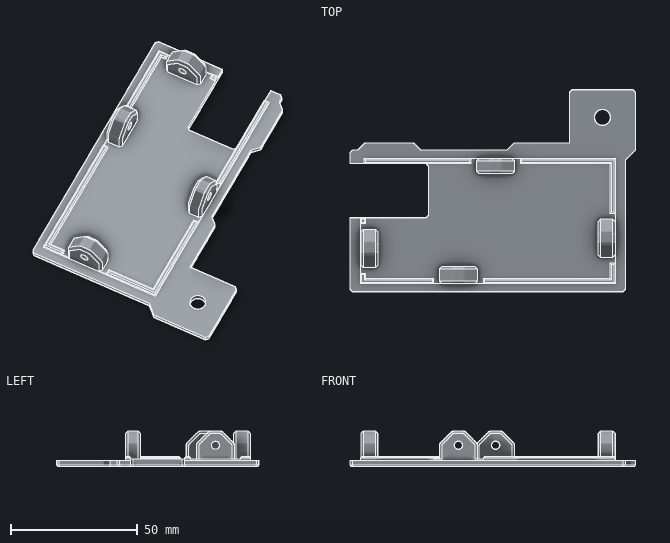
import cadquery as cq

plate_length = 113.0
plate_depth = 80.0
body_length = 109.0
body_depth = 56.2
plate_thickness = 2.5
corner_bevel = 1.0
bottom_chamfer = 0.6

land_rise = 2.8
left_land_start = 3.0
left_land_end = 28.0
right_land_start = 62.2

ear_left = 86.8
ear_hole_diameter = 6.2
ear_hole_x = 99.9
ear_hole_y = 69.0

notch_depth = 31.1
notch_front = 29.4
notch_back = 50.7

platform_left = 4.2
platform_right = 105.0
platform_front = 3.3
platform_top = 3.0
ridge_width = 2.0
platform_back = notch_back + ridge_width
back_arm_start = 5.6
ridge_top = 4.0
ridge_chamfer = 0.5

tab_width = 15.1
tab_top = 14.1
tab_shoulder = 9.0
tab_rounding = 2.0
tab_chamfer = 1.0
tab_thickness = 6.8
back_tab_thickness = 6.0
tab_hole_diameter = 3.2
tab_hole_height = 8.5
tab_clearance = 2.3
front_tab_x = 42.9
back_tab_x = 57.6
left_tab_y = 17.2
left_tab_inset = 0.1
right_tab_y = 21.2


def block(x_start, x_end, y_start, y_end, bottom, top):
    size = (x_end - x_start, y_end - y_start, top - bottom)
    return cq.Workplane("XY").box(*size, centered=False).translate((x_start, y_start, bottom))


def make_plate():
    land_depth = body_depth + land_rise
    ear_overhang = plate_length - body_length
    outline = [
        (corner_bevel, 0),
        (body_length - corner_bevel, 0),
        (body_length, corner_bevel),
        (body_length, body_depth - ear_overhang),
        (plate_length, body_depth),
        (plate_length, plate_depth - corner_bevel),
        (plate_length - corner_bevel, plate_depth),
        (ear_left + corner_bevel, plate_depth),
        (ear_left, plate_depth - corner_bevel),
        (ear_left, land_depth),
        (right_land_start + land_rise, land_depth),
        (right_land_start, body_depth),
        (left_land_end, body_depth),
        (left_land_end - land_rise, land_depth),
        (left_land_start + land_rise, land_depth),
        (left_land_start, body_depth),
        (corner_bevel, body_depth),
        (0, body_depth - corner_bevel),
        (0, notch_back),
        (notch_depth - corner_bevel, notch_back),
        (notch_depth, notch_back - corner_bevel),
        (notch_depth, notch_front + corner_bevel),
        (notch_depth - corner_bevel, notch_front),
        (0, notch_front),
        (0, corner_bevel),
    ]
    plate = cq.Workplane("XY").polyline(outline).close().extrude(plate_thickness)
    plate = plate.faces("<Z").edges().chamfer(bottom_chamfer)
    ear_hole = (
        cq.Workplane("XY")
        .center(ear_hole_x, ear_hole_y)
        .circle(ear_hole_diameter / 2)
        .extrude(plate_thickness)
    )
    return plate.cut(ear_hole)


def make_notch_cutter():
    """Notch with bevelled inner corners, plus the bare left end of the back arm."""
    notch = block(0, notch_depth, notch_front, notch_back, 0, ridge_top)
    notch = notch.edges("|Z and >X").chamfer(corner_bevel)
    arm_end = block(0, back_arm_start, notch_back, platform_back, plate_thickness, ridge_top)
    return notch.union(arm_end)


def make_platform():
    platform = block(
        platform_left, platform_right, platform_front, platform_back, plate_thickness, platform_top
    )
    return platform.cut(make_notch_cutter())


def make_ridge():
    """Ridge around the platform, interrupted at each tab and at the notch."""
    ridge = block(
        platform_left, platform_right, platform_front, platform_back, platform_top, ridge_top
    )
    inside = block(
        platform_left + ridge_width,
        platform_right - ridge_width,
        platform_front + ridge_width,
        platform_back - ridge_width,
        platform_top,
        ridge_top,
    )
    ridge = ridge.cut(inside).cut(make_notch_cutter())
    gap = tab_width + 2 * tab_clearance
    gaps = [
        (front_tab_x, platform_front, gap, 2 * ridge_width),
        (back_tab_x, platform_back, gap, 2 * ridge_width),
        (platform_left, left_tab_y, 2 * ridge_width, gap),
        (platform_right, right_tab_y, 2 * ridge_width, gap),
    ]
    for x, y, size_x, size_y in gaps:
        ridge = ridge.cut(
            block(
                x - size_x / 2, x + size_x / 2, y - size_y / 2, y + size_y / 2, platform_top, ridge_top
            )
        )
    return ridge.faces(">Z").edges().chamfer(ridge_chamfer)


def make_tab(thickness):
    """Tab standing on the platform, centred on X, with its outer face on Y = 0."""
    half_width = tab_width / 2
    half_top = half_width - (tab_top - tab_shoulder)
    profile = [
        (-half_width, platform_top),
        (half_width, platform_top),
        (half_width, tab_shoulder),
        (half_top, tab_top),
        (-half_top, tab_top),
        (-half_width, tab_shoulder),
    ]
    tab = cq.Workplane("XZ").polyline(profile).close().extrude(-thickness)
    tab = tab.edges("|Y and (not <Z)").fillet(tab_rounding)
    tab = tab.faces("<Y or >Y").edges("not <Z").chamfer(tab_chamfer)
    hole = (
        cq.Workplane("XZ")
        .center(0, tab_hole_height)
        .circle(tab_hole_diameter / 2)
        .extrude(-thickness)
    )
    return tab.cut(hole)


def place_tab(thickness, turn, x, y):
    return make_tab(thickness).rotate((0, 0, 0), (0, 0, 1), turn).translate((x, y, 0))


result = make_plate().union(make_platform()).union(make_ridge())
for tab in (
    place_tab(tab_thickness, 0, front_tab_x, platform_front),
    place_tab(back_tab_thickness, 180, back_tab_x, platform_back),
    place_tab(tab_thickness, -90, platform_left + left_tab_inset, left_tab_y),
    place_tab(tab_thickness, 90, platform_right, right_tab_y),
):
    result = result.union(tab)